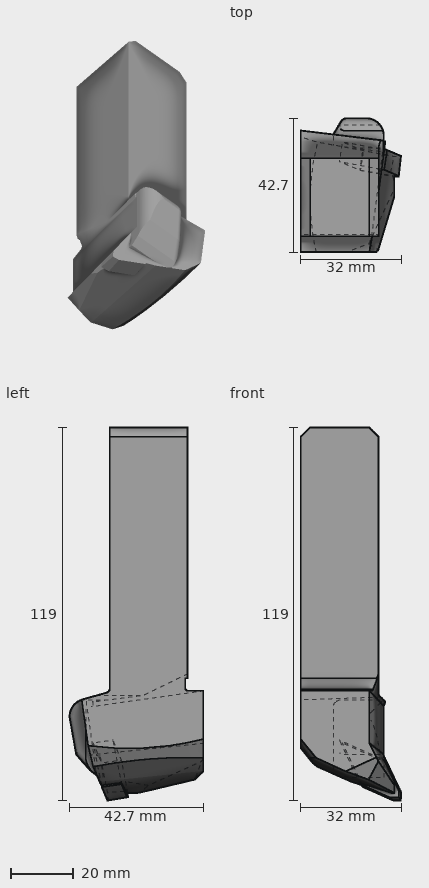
import cadquery as cq
import math

length = 119.0
shank_side = 24.9
shank_front = 5.0
shank_back = shank_front + shank_side
end_chamfer = 3.0

shoulder_z = 35.1
undercut_top = 39.0
undercut_depth = 0.7
undercut_bevel = 0.5
head_back = 38.8
head_back_z = 32.2
shoulder_drop_z = 34.7
shoulder_fillet = 1.4
ledge_z = 33.7

tip_x = 32.0
tip_y = 30.6
insert_thickness = 6.4
insert_width = 10.2
support_tip_x = 29.9
support_tip_z = 2.4

clamp_back = 42.7
clamp_left = 10.4
clamp_right = 26.5
clamp_root = 30.9
clamp_round = 5.7
clamp_end_round = 2.4

rake_point = (0, head_back, head_back_z)
rake_normal = (0.125, 1, -0.14)
lower_point = (4.9, 0, 13.7)
lower_normal = (-0.46, -0.075, -1)
wall_point = (21.9, 0, shoulder_z)
wall_normal = (1, -0.13, 0)
ramp_normal = (-2.66, 0.487, 1)
flank_point = (26.7, 34.5, 14.3)
flank_normal = (1, -0.08, 0.49)
ledge_normal = (1, 0, 1)
clamp_side_point = (clamp_left, 37.5, 0)
clamp_side_normal = (-1, 0.6, 0)
tip_side_normal = (1, -0.11, 0)
tip_end_normal = (0, -0.17, -1)

relief_points = ((12.5, 0, 10.0), (29.4, 23.8, 2.4), (16.3, 33.3, 6))
front_facet_points = ((23.8, 0, 13.7), (15.2, 0, 9.8), (21.9, 2.6, 7.1))
rear_facet_points = ((25, 2.1, 11.7), (21.9, 2.6, 7.1), (28.8, 17.8, 3.3))

heel_start_z = 19.6
heel_middle = (23.8, 16.7)
heel_slope = (4.9, 0, -6)
heel_sweep = 5

jaw_top_y = 38.7
jaw_top_middle = (41.5, 30.2)
jaw_crest_z = 26.8
jaw_taper = ((40.6, 14.8), (36.2, 9.8))
jaw_end = (33.3, 7.5)

reach = 178.5


def beyond(point, normal):
    """Large block filling the side of a plane towards which the normal points."""
    plane = cq.Plane(origin=point, normal=normal)
    return cq.Workplane(plane).rect(2 * reach, 2 * reach).extrude(reach)


def shifted(point, normal, distance):
    """Move a point along a normal of any length."""
    size = math.hypot(*normal)
    return tuple(p + distance * n / size for p, n in zip(point, normal))


def flipped(normal):
    return tuple(-n for n in normal)


def plane_through(a, b, c):
    """Point and normal of the plane through three points."""
    normal = (cq.Vector(*b) - cq.Vector(*a)).cross(cq.Vector(*c) - cq.Vector(*a))
    return a, normal.toTuple()


def make_shank():
    shank = cq.Workplane("XY").box(shank_side, shank_side, length, centered=False)
    shank = shank.faces(">Z").edges("|Y").chamfer(end_chamfer)
    shank = shank.translate((0, shank_front, 0))
    floor_y = shank_front + undercut_depth
    undercut = (
        cq.Workplane("YZ")
        .moveTo(0, undercut_top)
        .lineTo(floor_y, undercut_top)
        .lineTo(floor_y, shoulder_z + undercut_bevel)
        .lineTo(floor_y - undercut_bevel, shoulder_z)
        .lineTo(0, shoulder_z)
        .close()
        .extrude(shank_side)
    )
    shank = shank.cut(beyond((0, 0, head_back_z), (0, 0, -1)))
    return shank.cut(undercut)


def make_head_block():
    """Side profile of the head, up to the tilted rake face."""
    slope = math.atan2(shoulder_drop_z - head_back_z, head_back - shank_back)
    turn = math.pi / 2 - slope
    fillet_reach = shoulder_fillet * math.tan(turn / 2)
    center_y = shank_back + shoulder_fillet
    center_z = shoulder_drop_z + fillet_reach
    fillet_middle = (
        center_y - shoulder_fillet * math.cos(turn / 2),
        center_z - shoulder_fillet * math.sin(turn / 2),
    )
    fillet_end = (
        center_y - shoulder_fillet * math.cos(turn),
        center_z - shoulder_fillet * math.sin(turn),
    )
    block = (
        cq.Workplane("YZ")
        .moveTo(0, 0)
        .lineTo(0, shoulder_z)
        .lineTo(shank_front + undercut_depth, shoulder_z)
        .lineTo(shank_back, shoulder_drop_z + fillet_reach)
        .threePointArc(fillet_middle, fillet_end)
        .lineTo(head_back, head_back_z)
        .lineTo(head_back, 0)
        .close()
        .extrude(tip_x)
    )
    return block.cut(beyond(rake_point, rake_normal))


def make_clamp():
    """Rounded jaw with a sloping left side."""
    clamp = (
        cq.Workplane("YZ", origin=(clamp_left, 0, 0))
        .moveTo(clamp_root, head_back_z)
        .lineTo(jaw_top_y, head_back_z)
        .threePointArc(jaw_top_middle, (clamp_back, jaw_crest_z))
        .lineTo(*jaw_taper[0])
        .lineTo(*jaw_taper[1])
        .lineTo(*jaw_end)
        .lineTo(clamp_root, jaw_end[1])
        .close()
        .extrude(clamp_right - clamp_left)
    )
    clamp = clamp.cut(beyond(clamp_side_point, clamp_side_normal))
    clamp = clamp.faces(cq.selectors.DirectionMinMaxSelector(cq.Vector(*clamp_side_normal), True))
    clamp = clamp.edges("not(|Z)").fillet(clamp_end_round)
    corner = (
        cq.Workplane("XY")
        .moveTo(clamp_right - clamp_round, clamp_back)
        .threePointArc(
            (clamp_right - clamp_round * (1 - math.sqrt(0.5)),
             clamp_back - clamp_round * (1 - math.sqrt(0.5))),
            (clamp_right, clamp_back - clamp_round),
        )
        .lineTo(clamp_right, clamp_back)
        .close()
        .extrude(length)
    )
    return clamp.cut(corner)


def make_heel_cutter():
    """Curved bevel between the left side and the lower face."""
    far_y = 2 * heel_middle[0]
    fall = cq.Vector(*heel_slope)
    curve = (
        cq.Workplane("YZ")
        .moveTo(0, heel_start_z)
        .threePointArc(heel_middle, (far_y, heel_start_z))
        .lineTo(far_y, -reach)
        .lineTo(0, -reach)
        .close()
    )
    start = fall * -1
    wire = curve.val().moved(cq.Location(start))
    return cq.Workplane(cq.Solid.extrudeLinear(wire, [], fall * heel_sweep))


def make_insert_blank():
    """Rhombic plate with its corner still sharp."""
    floor_point = shifted(rake_point, rake_normal, -insert_thickness)
    blank = cq.Workplane("XY").box(2 * tip_x, 2 * head_back, length, centered=False)
    blank = blank.translate((0, 0, -length / 2))
    for point, normal in (
        (rake_point, rake_normal),
        (floor_point, flipped(rake_normal)),
        (lower_point, lower_normal),
        (flank_point, flank_normal),
        (shifted(lower_point, lower_normal, -insert_width), flipped(lower_normal)),
        (shifted(flank_point, flank_normal, -insert_width), flipped(flank_normal)),
    ):
        blank = blank.cut(beyond(point, normal))
    return blank


def make_insert():
    """Insert with its cutting corner blunted."""
    insert = make_insert_blank()
    tip = (tip_x, tip_y, 0)
    insert = insert.cut(beyond(tip, tip_side_normal))
    return insert.cut(beyond(tip, tip_end_normal))


def make_holder():
    holder = make_shank().union(make_head_block())
    ledge_cut = beyond((shank_side, 0, ledge_z), ledge_normal)
    holder = holder.cut(ledge_cut.intersect(beyond((shank_side, 0, 0), (1, 0, 0))))
    holder = holder.union(make_clamp())

    side_cut = beyond(wall_point, wall_normal)
    side_cut = side_cut.cut(beyond(wall_point, ramp_normal))
    side_cut = side_cut.intersect(beyond(flank_point, flank_normal))
    holder = holder.cut(side_cut)

    holder = holder.cut(beyond(lower_point, lower_normal))
    holder = holder.cut(make_heel_cutter())
    relief_point, relief_normal = plane_through(*relief_points)
    holder = holder.cut(beyond(relief_point, flipped(relief_normal)))
    for facet_points in (front_facet_points, rear_facet_points):
        point, normal = plane_through(*facet_points)
        outward = normal if normal[1] < 0 else flipped(normal)
        holder = holder.cut(beyond(point, outward))

    holder = holder.cut(make_insert_blank())
    holder = holder.cut(beyond((support_tip_x, 0, 0), (1, 0, 0)))
    return holder.cut(beyond((0, 0, support_tip_z), (0, 0, -1)))


holder = make_holder()
insert = make_insert()
result = cq.Compound.makeCompound([*holder.vals(), *insert.vals()])